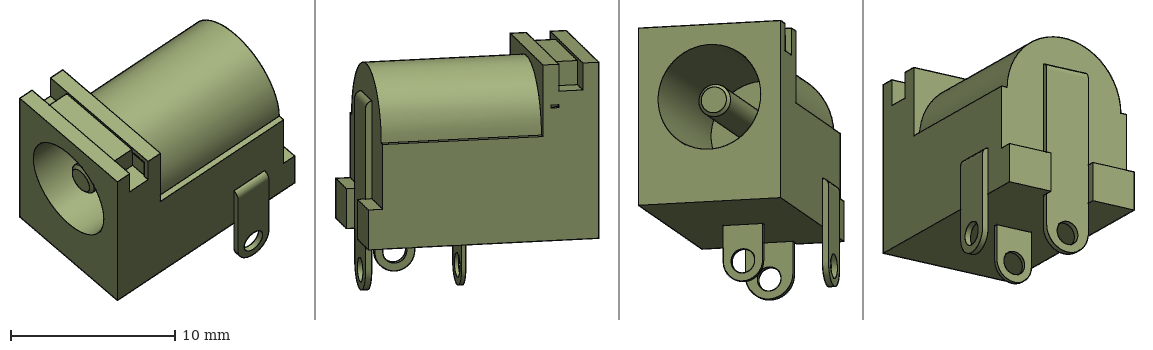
import cadquery as cq


width = 9.0
height = 11.0
length = 14.4
ledge_depth = 0.9
ledge_height = 2.5
rear_face_y = length - ledge_depth
axis_z = 6.5
shoulder_z = 6.54
barrel_diameter = 8.2
bore_diameter = 6.5
rear_wall = 1.5
bore_depth = rear_face_y - rear_wall

block_length = 3.5
slot_front_y = 1.0
slot_width = 1.5
slot_depth = 1.68
land_width = 6.0
land_drop = 0.17
slot_back_y = slot_front_y + slot_width
slot_floor_z = height - slot_depth

recess_inset = 0.39
recess_top_drop = 0.45
recess_depth = 0.06
slit_length = 0.5
slit_height = 0.17
slit_depth = 0.29
slit_z = 8.3

pin_diameter = 2.0
pin_chamfer = 0.2
pin_front_y = 1.0

terminal_drop = 3.5
terminal_hole_z = -2.25
terminal_hole_diameter = 1.5
narrow_width = 2.5
plate_thickness = 0.39
rear_width = 3.0
rear_top_z = 8.6
round_radius = 0.46
side_top_z = 3.0
side_center_y = 10.7
spring_thickness = 0.26
spring_front_y = 7.57
spring_top_z = 2.0


def box(x_min, x_max, y_min, y_max, z_min, z_max):
    """Box given by its limits."""
    return cq.Workplane("XY").box(
        x_max - x_min, y_max - y_min, z_max - z_min, centered=False
    ).translate((x_min, y_min, z_min))


def axial_cylinder(diameter, y_start, y_end):
    """Cylinder on the jack axis."""
    return (
        cq.Workplane("XZ", origin=(0, y_start, axis_z))
        .circle(diameter / 2)
        .extrude(y_start - y_end)
    )


def terminal(plate_width, thickness, top_z):
    """Plate with a round, drilled lower end; its front face lies on Y = 0."""
    half = plate_width / 2
    arc_z = half - terminal_drop
    return (
        cq.Workplane("XZ")
        .moveTo(-half, top_z)
        .lineTo(-half, arc_z)
        .threePointArc((0, -terminal_drop), (half, arc_z))
        .lineTo(half, top_z)
        .close()
        .moveTo(0, terminal_hole_z)
        .circle(terminal_hole_diameter / 2)
        .extrude(-thickness)
    )


def rounded_terminal(plate_width, top_z):
    """Terminal with its outer top edge rounded off to the front face."""
    half = plate_width / 2
    round_start_z = top_z - round_radius
    round_profile = (
        cq.Workplane("YZ", origin=(-half, 0, 0))
        .moveTo(0, -terminal_drop)
        .lineTo(plate_thickness, -terminal_drop)
        .lineTo(plate_thickness, round_start_z)
        .radiusArc((0, top_z), -round_radius)
        .close()
        .extrude(plate_width)
    )
    return terminal(plate_width, plate_thickness, top_z).intersect(round_profile)


def make_housing_shell():
    """Base, ledge, front block and barrel, with the bore."""
    half = width / 2
    base = box(-half, half, 0, rear_face_y, 0, shoulder_z)
    ledge = box(-half, half, rear_face_y, length, 0, ledge_height)
    block = box(-half, half, 0, block_length, 0, height)
    barrel = axial_cylinder(barrel_diameter, 0, rear_face_y)
    bore = axial_cylinder(bore_diameter, 0, bore_depth)
    return base.union(ledge).union(block).union(barrel).cut(bore)


def cut_front_slot(body):
    """Slot across the front block around its land, and the recess behind the +X end."""
    half = width / 2
    half_land = land_width / 2
    slot = box(-half, half, slot_front_y, slot_back_y, slot_floor_z, height)
    land = box(-half_land, half_land, slot_front_y, slot_back_y, slot_floor_z, height - land_drop)
    recess = box(
        half_land, half - recess_inset,
        slot_back_y, slot_back_y + recess_depth,
        slot_floor_z, height - recess_top_drop,
    )
    return body.cut(slot.cut(land)).cut(recess)


def cut_side_slit(body):
    """Small slit in the -X side below the slot."""
    left = -width / 2
    slit = box(
        left, left + slit_depth,
        slot_back_y, slot_back_y + slit_length,
        slit_z, slit_z + slit_height,
    )
    return body.cut(slit)


def cut_ledge_notch(body):
    """Notch through the ledge that takes the rear terminal."""
    half = rear_width / 2
    return body.cut(box(-half, half, rear_face_y, length, 0, ledge_height))


center_pin = axial_cylinder(pin_diameter, pin_front_y, rear_face_y).faces("<Y").chamfer(pin_chamfer)

rear_terminal = rounded_terminal(rear_width, rear_top_z).translate((0, rear_face_y, 0))

side_terminal = (
    rounded_terminal(narrow_width, side_top_z)
    .rotate((0, 0, 0), (0, 0, 1), -90)
    .translate((width / 2, side_center_y, 0))
)

spring_terminal = terminal(narrow_width, spring_thickness, spring_top_z).translate((0, spring_front_y, 0))

housing = make_housing_shell()
housing = cut_front_slot(housing)
housing = cut_side_slit(housing)
housing = cut_ledge_notch(housing)
housing = housing.cut(center_pin).cut(spring_terminal)

result = cq.Compound.makeCompound([
    housing.val(),
    center_pin.val(),
    rear_terminal.val(),
    side_terminal.val(),
    spring_terminal.val(),
])